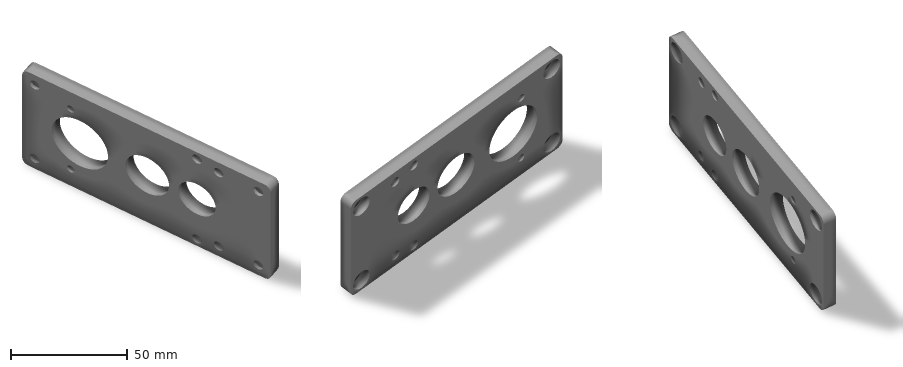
import cadquery as cq

length = 127.0
height = 59.4
thickness = 6.4
corner_radius = 3.2

openings = [(-34.0, 28.7), (0.4, 22.2), (25.8, 19.0)]

mount_diameter = 5.1
edge_inset = 6.4
mount_half_spacing = height / 2 - edge_inset
end_x = length / 2 - edge_inset
inner_mount_x = 36.8

flank_half_spacing = 25.4
flank_x = openings[2][0]

small_diameter = 4.0
small_x = -38.7
small_half_spacing = 19.0


counterbore_diameter = 10.0
front_web = 1.5
counterbore_depth = thickness - front_web


def cylinder_cut(x, z, diameter, depth):
    """Cylinder sunk to the given depth from the +Y face at (x, z)."""
    return (
        cq.Workplane("XZ", origin=(x, thickness / 2, z))
        .circle(diameter / 2)
        .extrude(depth)
    )


plate = cq.Workplane("XY").box(length, thickness, height).edges("|Y").fillet(corner_radius)

for x, diameter in openings:
    plate = plate.cut(cylinder_cut(x, 0, diameter, thickness))

hole_pairs = [
    (-end_x, mount_half_spacing, mount_diameter),
    (inner_mount_x, mount_half_spacing, mount_diameter),
    (end_x, mount_half_spacing, mount_diameter),
    (flank_x, flank_half_spacing, mount_diameter),
    (small_x, small_half_spacing, small_diameter),
]
for x, half_spacing, diameter in hole_pairs:
    for z in (-half_spacing, half_spacing):
        plate = plate.cut(cylinder_cut(x, z, diameter, thickness))

for x in (-end_x, end_x):
    for z in (-mount_half_spacing, mount_half_spacing):
        plate = plate.cut(cylinder_cut(x, z, counterbore_diameter, counterbore_depth))

result = plate